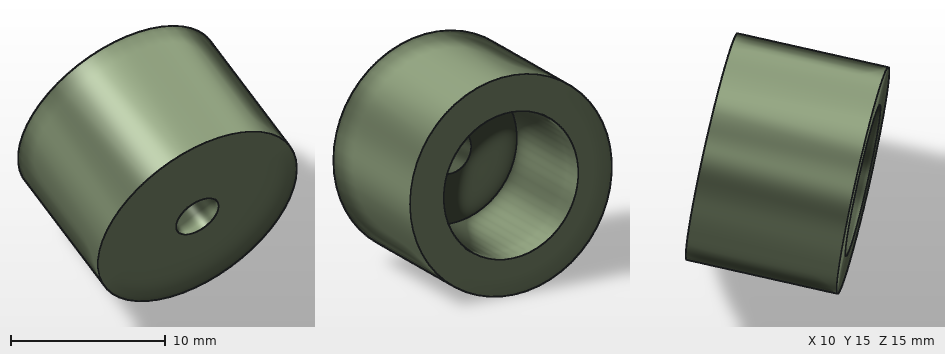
import cadquery as cq

length = 10.0
outer_diameter = 15.0
counterbore_diameter = 10.0
screw_hole_diameter = 3.2
floor_thickness = 2.0

counterbore_depth = length - floor_thickness


def cylinder_from_open_end(diameter, depth):
    """Cylinder along +X that starts at the open end, at X = 0."""
    return cq.Workplane("YZ").circle(diameter / 2).extrude(depth)


body = cylinder_from_open_end(outer_diameter, length)

counterbore = cylinder_from_open_end(counterbore_diameter, counterbore_depth)

screw_hole = cylinder_from_open_end(screw_hole_diameter, length)

result = body.cut(counterbore).cut(screw_hole)